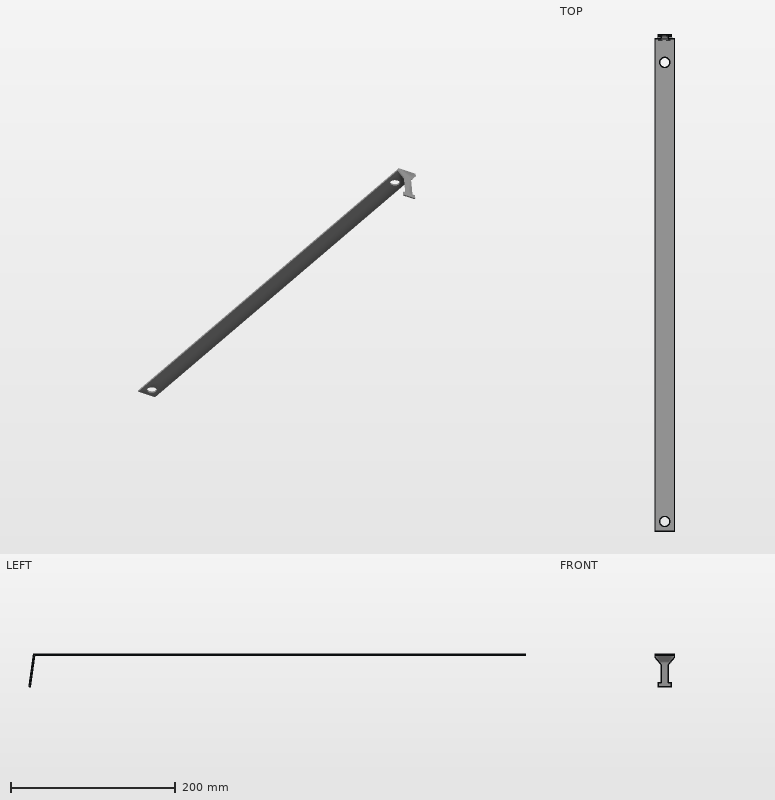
import cadquery as cq
import math

width = 24.0
length = 605.5
height = 40.0
thickness = 2.0

tab_tilt = math.radians(8.0)

stem_width = 9.0
foot_width = 16.5
foot_height = 5.0
taper_start = 3.5
taper_end = 13.0

hole_diameter = 12.0
front_hole_y = 12.0
hole_spacing = 559.5

tip_outer_y = length
tip_outer_z = -height + thickness * math.sin(tab_tilt)
tip_inner_y = tip_outer_y - thickness * math.cos(tab_tilt)
bend_outer_y = tip_outer_y + tip_outer_z * math.tan(tab_tilt)
bend_inner_y = tip_inner_y - (height - thickness) * math.tan(tab_tilt)
tab_length = -tip_outer_z / math.cos(tab_tilt)


def bent_strip():
    """Flat strip with a full-width tab folded sharply down at its +Y end."""
    profile = [
        (0, 0),
        (bend_outer_y, 0),
        (tip_outer_y, tip_outer_z),
        (tip_inner_y, -height),
        (bend_inner_y, -thickness),
        (0, -thickness),
    ]
    return cq.Workplane("YZ").polyline(profile).close().extrude(width / 2, both=True)


def tab_side_cutter(side):
    """Waste beside the stem; side is +1 or -1 along X."""
    tab_plane = cq.Plane(
        origin=(0, bend_outer_y, 0),
        xDir=(1, 0, 0),
        normal=(0, -math.cos(tab_tilt), -math.sin(tab_tilt)),
    )
    stem_x = side * stem_width / 2
    foot_x = side * foot_width / 2
    edge_x = side * width / 2
    clear_x = side * width
    outline = [
        (edge_x, -taper_start),
        (stem_x, -taper_end),
        (stem_x, foot_height - tab_length),
        (foot_x, foot_height - tab_length),
        (foot_x, -2 * tab_length),
        (clear_x, -2 * tab_length),
        (clear_x, -taper_start),
    ]
    return cq.Workplane(tab_plane).polyline(outline).close().extrude(2 * thickness, both=True)


def mounting_holes():
    """Cutters for the through hole near each end of the strip."""
    centres = [(0, front_hole_y), (0, front_hole_y + hole_spacing)]
    return (
        cq.Workplane("XY")
        .pushPoints(centres)
        .circle(hole_diameter / 2)
        .extrude(thickness, both=True)
    )


result = bent_strip()
for side in (-1, 1):
    result = result.cut(tab_side_cutter(side))
result = result.cut(mounting_holes())